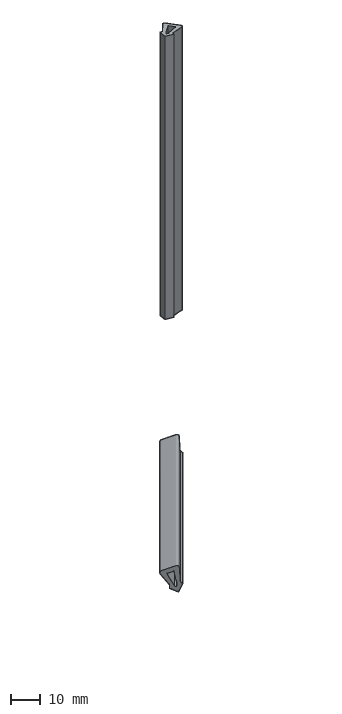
import cadquery as cq
import math

length = 107.5
width = 8.8
foot_side = 3.4
foot_undercut = 0.3
foot_step = 1.1
wall_slope = math.radians(27.8)
nose_radius = 0.84

hollow_near = 1.5
hollow_mid = 2.2
hollow_short = 4.6
hollow_long = 6.5


def mirrored_outline(half):
    """Close a half outline by swapping coordinates across the diagonal."""
    other_half = [(v, u) for u, v in reversed(half)]
    return [(-u, v) for u, v in half + other_half]


def prism(points):
    return cq.Workplane("XY").polyline(points).close().extrude(length)


slope = math.tan(wall_slope)
step_u = foot_side + foot_undercut

nose_u = width - nose_radius
nose_v = (
    foot_step
    + (nose_u - step_u) * slope
    + nose_radius / math.cos(wall_slope)
)

broad_sum = nose_u + nose_v + nose_radius * math.sqrt(2)

tip_u = (broad_sum - foot_step + step_u * slope) / (1 + slope)
tip_v = broad_sum - tip_u

outer_half = [(foot_side, 0), (step_u, foot_step), (tip_u, tip_v)]
outer_points = mirrored_outline(outer_half) + [(0, 0)]
body = prism(outer_points)

middle = length / 2
for corner in [(-tip_u, tip_v, middle), (-tip_v, tip_u, middle)]:
    body = body.edges(cq.selectors.NearestToPointSelector(corner)).fillet(nose_radius)

hollow_half = [
    (hollow_near, hollow_near),
    (hollow_mid, hollow_near),
    (hollow_long, hollow_short),
]
hollow_points = mirrored_outline(hollow_half)[:-1]
result = body.cut(prism(hollow_points))